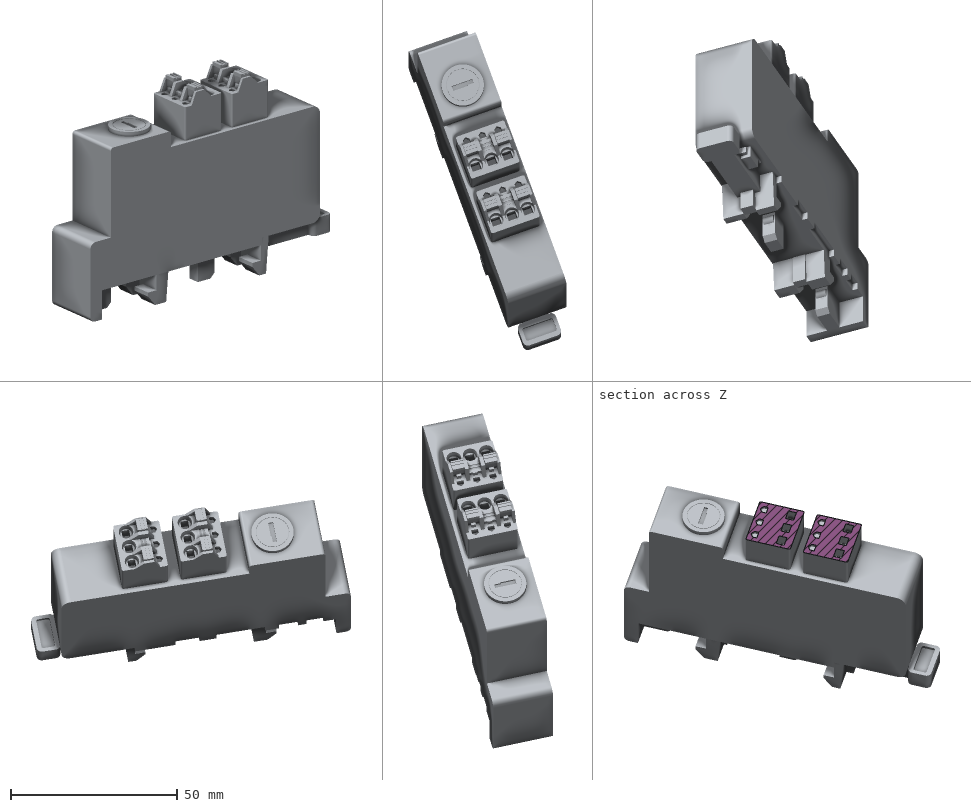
import cadquery as cq


WIDTH = 18.6
TOTAL_LENGTH = 95.2
TOTAL_HEIGHT = 65.5
HOUSING_REAR = 88.4
DECK_Z = 49.6
RAISED_Z = 54.7
RAISED_FRONT, RAISED_REAR = 7.8, 31.0
STEP_Z = 25.9
REAR_RADIUS = 2.9
RAISED_RADIUS = 0.95
STEP_RADIUS = 1.9
FOOT_RADIUS = 1.7
FOOT_Z = 0.3
FRONT_WALL = 4.4
BASE_Z = 9.7
CEILING_Z = 12.1
BASE_REAR = 66.0

POST_LEFT, POST_RIGHT = -1.6, 2.5
POST_CENTRE = (POST_LEFT + POST_RIGHT) / 2
POST_WIDTH = POST_RIGHT - POST_LEFT
NOTCHES = [(8.4, 13.5), (16.1, 21.9), (26.2, 41.0), (46.3, 53.7)]
POST_CHAMFER = 1.5
POSTS = [(FRONT_WALL, 13.3), (46.7, 53.1)]
SNAP_RADIUS = 1.5
SNAP_PROTRUSION = 0.9
SNAP_INSET = 0.4
SNAP_Z = 7.3
HOOK_LEFT, HOOK_RIGHT = -7.6, 9.0
HOOK_GRIP = 3.2
HOOK_GRIP_Z = 4.7
HOOK_NOSE_Z = 3.3
HOOK_LEAN = 1.0
HOOKS = [(25.6, 30.4, 0.5), (65.8, 68.8, 0.6)]
STOPS = [(27.6, 30.4), (66.6, 70.1)]

LEVER_Z = 6.3
LEVER_HEAD_WIDTH = 12.1
LEVER_HEAD_LENGTH = 7.2
LEVER_NECK_WIDTH = 7.6
LEVER_CORNER = 1.5
LEVER_BORDER = 1.1
LEVER_END_BORDER = 1.5
LEVER_RECESS_DEPTH = 0.95
LEVER_RECESS_CORNER = 0.6
GUIDE_LEFT = -6.5
GUIDE_FRONT, GUIDE_REAR, GUIDE_Z = 77.5, 83.1, 8.2
GUIDE_LIP_FRONT, GUIDE_LIP_Z = 75.2, 11.3
GUIDE_SNAP_REAR, GUIDE_SNAP_Z, GUIDE_SNAP_TOP = 84.4, 9.2, 11.2

KNOB_Y = 22.3
KNOB_RADIUS = 6.4
KNOB_Z = 56.2
KNOB_RING_RADIUS = 5.0
KNOB_RING_WIDTH = 0.2
KNOB_RING_DEPTH = 0.2
KNOB_SLOT_LENGTH = 6.6
KNOB_SLOT_WIDTH = 1.5
KNOB_SLOT_TIP_LENGTH = 1.9
KNOB_SLOT_TIP_WIDTH = 1.2
KNOB_SLOT_DEPTH = 0.6

TERMINAL_FRONTS = [37.6, 55.6]
TERMINAL_X = 0.1
TERMINAL_WIDTH = 15.5
TERMINAL_LENGTH = 14.1
TERMINAL_CORNER = 0.6
TERMINAL_FRONT_Z = 60.4
TERMINAL_REAR_Z = 61.7
WALL_TOP_Z = 64.4
OUTER_WALL = 0.9
INNER_WALL = 1.1
POLE_PITCH = 5.0
POLES = [-POLE_PITCH, 0, POLE_PITCH]
WALL_FOOT, WALL_TOP_FRONT, WALL_TOP_REAR, WALL_HEEL = 2.5, 4.2, 7.3, 10.1
BUTTON_FRONT, BUTTON_REAR = 4.2, 7.3
BUTTON_FACE, BUTTON_FOOT = 4.7, 4.95
BUTTON_WIDTH = 3.8
BUTTON_GROOVES = [5.1, 6.2]
BUTTON_GROOVE_LENGTH, BUTTON_GROOVE_DEPTH = 0.7, 0.3
BUTTON_CAP_THICKNESS = 1.1
LOW_BUTTON_Z = 61.8
TAB_WIDTH, TAB_FRONT = 1.4, 3.9
FUNNEL_Y, FUNNEL_RADIUS, FUNNEL_THROAT, FUNNEL_DEPTH = 10.6, 2.2, 1.9, 1.9
WIRE_HOLE_WIDTH, WIRE_HOLE_LENGTH, WIRE_HOLE_DEPTH = 2.9, 2.4, 5.7
PROBE_FRONT, PROBE_SHOULDER, PROBE_REAR = 1.0, 1.8, 3.0
PROBE_WIDTH, PROBE_DEPTH = 2.1, 1.9


def box(x_min, x_max, y_min, y_max, z_min, z_max):
    size = (x_max - x_min, y_max - y_min, z_max - z_min)
    return cq.Workplane("XY").box(*size, centered=False).translate((x_min, y_min, z_min))


def side_plate(points, x_min, x_max):
    """Extrude a closed outline of (Y, Z) points from x_min to x_max."""
    plane = cq.Workplane("YZ", origin=(x_min, 0, 0))
    return plane.polyline(points).close().extrude(x_max - x_min)


def housing():
    outline = [
        (0, FOOT_Z),
        (0, STEP_Z),
        (RAISED_FRONT, STEP_Z),
        (RAISED_FRONT, RAISED_Z),
        (RAISED_REAR, RAISED_Z),
        (RAISED_REAR, DECK_Z),
        (HOUSING_REAR, DECK_Z),
        (HOUSING_REAR, CEILING_Z),
        (BASE_REAR, CEILING_Z),
        (BASE_REAR, BASE_Z),
        (FRONT_WALL, BASE_Z),
        (FRONT_WALL, FOOT_Z),
    ]
    rounded_edges = [
        (0, FOOT_Z, FOOT_RADIUS),
        (0, STEP_Z, STEP_RADIUS),
        (RAISED_FRONT, RAISED_Z, RAISED_RADIUS),
        (RAISED_REAR, RAISED_Z, RAISED_RADIUS),
        (HOUSING_REAR, DECK_Z, REAR_RADIUS),
        (HOUSING_REAR, CEILING_Z, REAR_RADIUS),
    ]
    body = side_plate(outline, -WIDTH / 2, WIDTH / 2)
    for y, z, radius in rounded_edges:
        body = body.edges(cq.NearestToPointSelector((0, y, z))).fillet(radius)
    for y_min, y_max in NOTCHES:
        body = body.cut(box(-WIDTH / 2, HOOK_LEFT, y_min, y_max, BASE_Z, CEILING_Z))
    return body


def post(front, rear):
    """Rail post under the housing, with a chamfered rear toe and a rounded snap behind it."""
    block = box(POST_LEFT, POST_RIGHT, front, rear, FOOT_Z, CEILING_Z)
    block = block.edges("|X and >Y and <Z").chamfer(POST_CHAMFER)
    snap_axis = (POST_LEFT + SNAP_INSET, rear + SNAP_PROTRUSION - SNAP_RADIUS, SNAP_Z)
    snap = cq.Workplane("YZ", origin=snap_axis).circle(SNAP_RADIUS).extrude(POST_WIDTH - 2 * SNAP_INSET)
    return block.union(snap)


def hook_pair(front, rear, tip_reach):
    """Two matching rail hooks, one on each side of the central posts."""
    outline = [
        (rear, CEILING_Z),
        (rear - HOOK_LEAN, 0),
        (front - tip_reach, 0),
        (front - HOOK_GRIP, HOOK_NOSE_Z),
        (front - HOOK_GRIP, HOOK_GRIP_Z),
        (front, HOOK_GRIP_Z),
        (front, CEILING_Z),
    ]
    left = side_plate(outline, HOOK_LEFT, POST_LEFT)
    return left.union(side_plate(outline, POST_RIGHT, HOOK_RIGHT))


def release_lever():
    height = CEILING_Z - LEVER_Z
    head_front = TOTAL_LENGTH - LEVER_HEAD_LENGTH
    half_head = LEVER_HEAD_WIDTH / 2
    half_neck = LEVER_NECK_WIDTH / 2
    left, right = POST_CENTRE - half_head, POST_CENTRE + half_head
    head = box(left, right, head_front, TOTAL_LENGTH, LEVER_Z, CEILING_Z)
    head = head.edges("|Z").fillet(LEVER_CORNER)
    recess = (
        box(
            left + LEVER_BORDER,
            right - LEVER_BORDER,
            HOUSING_REAR + LEVER_BORDER,
            TOTAL_LENGTH - LEVER_END_BORDER,
            CEILING_Z - LEVER_RECESS_DEPTH,
            CEILING_Z,
        )
        .edges("|Z")
        .fillet(LEVER_RECESS_CORNER)
    )
    neck_length = head_front + LEVER_CORNER - BASE_REAR
    neck = cq.Workplane("XY").box(LEVER_NECK_WIDTH, neck_length, height, centered=(True, False, False))
    neck = neck.translate((POST_CENTRE, BASE_REAR, LEVER_Z))
    guide_right = POST_CENTRE + half_neck
    guide = box(GUIDE_LEFT, guide_right, GUIDE_FRONT, GUIDE_REAR, GUIDE_Z, CEILING_Z)
    lip = box(GUIDE_LEFT, guide_right, GUIDE_LIP_FRONT, GUIDE_FRONT, GUIDE_LIP_Z, CEILING_Z)
    snap = box(
        POST_CENTRE - half_head, guide_right, GUIDE_REAR, GUIDE_SNAP_REAR, GUIDE_SNAP_Z, GUIDE_SNAP_TOP
    )
    return head.cut(recess).union(neck).union(guide).union(lip).union(snap)


def knob():
    top = cq.Workplane("XY", origin=(0, KNOB_Y, KNOB_Z))
    disc = top.circle(KNOB_RADIUS).extrude(RAISED_Z - KNOB_Z)
    ring = top.circle(KNOB_RING_RADIUS).circle(KNOB_RING_RADIUS - KNOB_RING_WIDTH)
    disc = disc.cut(ring.extrude(-KNOB_RING_DEPTH))
    x_min, x_max = -KNOB_SLOT_LENGTH / 2, KNOB_SLOT_LENGTH / 2
    y_min = KNOB_Y - KNOB_SLOT_WIDTH / 2
    x_step = x_min + KNOB_SLOT_TIP_LENGTH
    floor = KNOB_Z - KNOB_SLOT_DEPTH
    tip = box(x_min, x_step, y_min, y_min + KNOB_SLOT_TIP_WIDTH, floor, KNOB_Z)
    blade = box(x_step, x_max, y_min, y_min + KNOB_SLOT_WIDTH, floor, KNOB_Z)
    return disc.cut(tip).cut(blade)


def terminal_walls():
    """The two side walls and two dividers that stand up between the poles."""
    outline = [
        (WALL_FOOT, DECK_Z),
        (WALL_FOOT, TERMINAL_FRONT_Z),
        (WALL_TOP_FRONT, WALL_TOP_Z),
        (WALL_TOP_REAR, WALL_TOP_Z),
        (WALL_HEEL, TERMINAL_REAR_Z),
        (WALL_HEEL, DECK_Z),
    ]
    half = TERMINAL_WIDTH / 2
    divider = POLE_PITCH / 2
    walls = side_plate(outline, -half, OUTER_WALL - half)
    walls = walls.union(side_plate(outline, half - OUTER_WALL, half))
    for x in (-divider, divider):
        walls = walls.union(side_plate(outline, x - INNER_WALL / 2, x + INNER_WALL / 2))
    return walls


def button(x, top_z):
    """Grooved push button of one pole: an overhanging cap on a stem, with a narrow tab at its foot."""
    x_min, x_max = x - BUTTON_WIDTH / 2, x + BUTTON_WIDTH / 2
    cap_z = top_z - BUTTON_CAP_THICKNESS
    cap = box(x_min, x_max, BUTTON_FRONT, BUTTON_REAR, cap_z, top_z)
    foot = box(x_min, x_max, BUTTON_FOOT, BUTTON_REAR, DECK_Z, LOW_BUTTON_Z)
    tab = box(x - TAB_WIDTH / 2, x + TAB_WIDTH / 2, TAB_FRONT, BUTTON_FOOT, DECK_Z, LOW_BUTTON_Z)
    parts = cap.union(foot).union(tab)
    if cap_z > LOW_BUTTON_Z:
        parts = parts.union(box(x_min, x_max, BUTTON_FACE, BUTTON_REAR, LOW_BUTTON_Z, cap_z))
    for y in BUTTON_GROOVES:
        groove = box(x_min, x_max, y, y + BUTTON_GROOVE_LENGTH, top_z - BUTTON_GROOVE_DEPTH, top_z)
        parts = parts.cut(groove)
    return parts


def wire_entry(x):
    """Conical funnel leading into a rectangular wire hole."""
    top = cq.Workplane("XY", origin=(x, FUNNEL_Y, WALL_TOP_Z))
    clearance = top.circle(FUNNEL_RADIUS).extrude(TERMINAL_REAR_Z - WALL_TOP_Z)
    rim = cq.Workplane("XY", origin=(x, FUNNEL_Y, TERMINAL_REAR_Z))
    funnel = rim.circle(FUNNEL_RADIUS).workplane(offset=-FUNNEL_DEPTH).circle(FUNNEL_THROAT).loft()
    hole = rim.rect(WIRE_HOLE_WIDTH, WIRE_HOLE_LENGTH).extrude(-WIRE_HOLE_DEPTH)
    return clearance.union(funnel).union(hole)


def probe_hole(x):
    """Shield-shaped test hole pointing to the front."""
    half = PROBE_WIDTH / 2
    outline = [
        (x - half, PROBE_REAR),
        (x + half, PROBE_REAR),
        (x + half, PROBE_SHOULDER),
        (x, PROBE_FRONT),
        (x - half, PROBE_SHOULDER),
    ]
    top = cq.Workplane("XY", origin=(0, 0, TERMINAL_FRONT_Z))
    return top.polyline(outline).close().extrude(-PROBE_DEPTH)


def terminal():
    half = TERMINAL_WIDTH / 2
    block = box(-half, half, 0, TERMINAL_LENGTH, DECK_Z, TERMINAL_REAR_Z)
    block = block.edges("|Z").fillet(TERMINAL_CORNER)
    block = block.cut(box(-half, half, 0, BUTTON_REAR, TERMINAL_FRONT_Z, TERMINAL_REAR_Z))
    block = block.union(terminal_walls())
    for x in POLES:
        top_z = LOW_BUTTON_Z if x == 0 else TOTAL_HEIGHT
        block = block.cut(wire_entry(x)).union(button(x, top_z)).cut(probe_hole(x))
    return block


result = housing().union(knob()).union(release_lever())
for front, rear in POSTS:
    result = result.union(post(front, rear))
for front, rear in STOPS:
    result = result.union(box(POST_LEFT, POST_RIGHT, front, rear, FOOT_Z, CEILING_Z))
for front, rear, tip_reach in HOOKS:
    result = result.union(hook_pair(front, rear, tip_reach))
for front in TERMINAL_FRONTS:
    result = result.union(terminal().translate((TERMINAL_X, front, 0)))